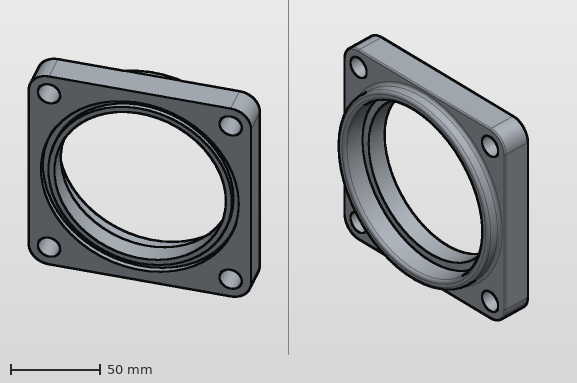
import cadquery as cq

plate_side = 130.0
plate_thickness = 18.0
corner_radius = 12.0
back_edge_radius = 0.9

total_depth = 27.0
boss_diameter = 122.0
boss_rim_radius = 2.0
boss_root_radius = 2.0

bolt_hole_diameter = 13.0
bolt_offset = plate_side / 2 - corner_radius

front_bore_diameter = 100.1
rear_bore_diameter = 110.0
bore_step_depth = 13.0

groove_outer_diameter = 115.6
groove_inner_diameter = 107.1
groove_depth = 3.9
lip_recess = 0.5


def cylinder(diameter, start, end):
    """Cylinder on the bore axis between two depths along Y."""
    face = cq.Workplane("XZ", origin=(0, start, 0))
    return face.circle(diameter / 2).extrude(start - end)


def make_plate():
    plate = cq.Workplane("XZ").rect(plate_side, plate_side).extrude(-plate_thickness)
    plate = plate.edges("|Y").fillet(corner_radius)
    return plate.faces(">Y").edges().fillet(back_edge_radius)


def add_boss(body):
    body = body.union(cylinder(boss_diameter, 0, total_depth))
    root_edge = body.edges("%CIRCLE").edges(cq.selectors.RadiusNthSelector(-1)).edges("<Y")
    return root_edge.fillet(boss_root_radius)


def round_boss_rims(body):
    return body.faces(">Y").edges().fillet(boss_rim_radius)


def cut_bore(body):
    body = body.cut(cylinder(front_bore_diameter, 0, total_depth))
    return body.cut(cylinder(rear_bore_diameter, bore_step_depth, total_depth))


def cut_seal_groove(body):
    lip = cylinder(groove_inner_diameter, lip_recess, groove_depth)
    groove = cylinder(groove_outer_diameter, 0, groove_depth).cut(lip)
    return body.cut(groove)


def cut_bolt_holes(body):
    spacing = 2 * bolt_offset
    holes = cq.Workplane("XZ").rect(spacing, spacing, forConstruction=True).vertices()
    return body.cut(holes.circle(bolt_hole_diameter / 2).extrude(-plate_thickness))


result = make_plate()
result = add_boss(result)
result = cut_bore(result)
result = round_boss_rims(result)
result = cut_seal_groove(result)
result = cut_bolt_holes(result)